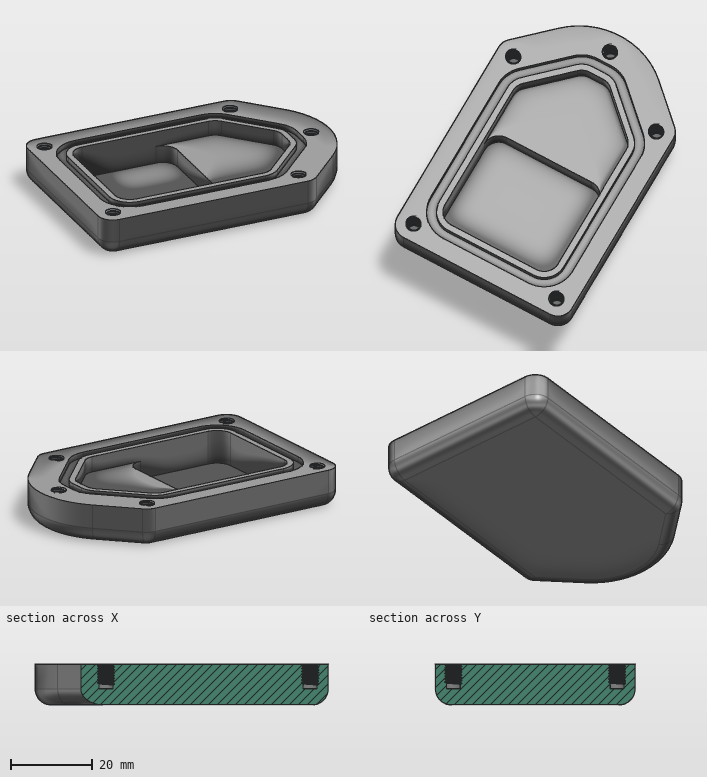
import cadquery as cq
import math

width = 49.2
length = 72.2
thickness = 10.0
edge_radius = 4.0
shoulder_y = 56.7
slope = math.radians(43.2)

pocket_half_width = 15.95
pocket_bottom_y = 8.6
pocket_top_y = 60.2
pocket_top_half_width = 3.5
rim_width = 1.6
groove_width = 2.45
groove_depth = 1.45
shelf_depth = 4.0
deep_pocket_depth = 8.5
deep_pocket_top_y = 36.5

bore_diameter = 3.3
thread_diameter = 4.1
thread_pitch = 0.7
thread_flank_angle = math.radians(30)
thread_root_width = thread_pitch / 8
thread_turns = 8
thread_overlap = 0.1
bore_seam_angle = 135
hole_depth = 6.0
hole_inset = 4.5
shoulder_hole_y = 54.7
crown_hole_y = 67.4


def make_plate():
    half_width = width / 2
    apex_y = shoulder_y + half_width * math.tan(slope)
    crown_radius = (apex_y - length) * math.cos(slope) / (1 - math.cos(slope))
    tangent_x = crown_radius * math.sin(slope)
    tangent_y = length - crown_radius * (1 - math.cos(slope))
    plate = (
        cq.Workplane("XY")
        .moveTo(-half_width, 0)
        .lineTo(half_width, 0)
        .lineTo(half_width, shoulder_y)
        .lineTo(tangent_x, tangent_y)
        .threePointArc((0, length), (-tangent_x, tangent_y))
        .lineTo(-half_width, shoulder_y)
        .close()
        .extrude(thickness)
    )
    side_corners = cq.selectors.BoxSelector(
        (-width, -length, -thickness),
        (width, (shoulder_y + tangent_y) / 2, 2 * thickness),
    )
    plate = plate.edges("|Z").edges(side_corners).fillet(edge_radius)
    return plate.faces("<Z").edges().fillet(edge_radius)


def pocket_prism(offset, depth):
    """House-shaped pocket outline grown outward by offset, reaching down from the top face."""
    roof_run = pocket_half_width - pocket_top_half_width
    pocket_shoulder_y = pocket_top_y - roof_run * math.tan(slope)
    half_width = pocket_half_width + offset
    bottom_y = pocket_bottom_y - offset
    wall_top_y = pocket_shoulder_y + offset * math.tan((math.pi / 2 - slope) / 2)
    roof_half_width = pocket_top_half_width + offset * math.tan(slope / 2)
    top_y = pocket_top_y + offset
    return (
        cq.Workplane("XY", origin=(0, 0, thickness))
        .polyline([
            (-half_width, bottom_y),
            (half_width, bottom_y),
            (half_width, wall_top_y),
            (roof_half_width, top_y),
            (-roof_half_width, top_y),
            (-half_width, wall_top_y),
        ])
        .close()
        .extrude(-depth)
        .edges("|Z")
        .fillet(edge_radius + offset)
    )


def make_seal_groove():
    groove = pocket_prism(rim_width + groove_width, groove_depth)
    return groove.cut(pocket_prism(rim_width, groove_depth))


def make_deep_pocket():
    span = deep_pocket_top_y - pocket_bottom_y
    return (
        cq.Workplane("XY", origin=(0, pocket_bottom_y + span / 2, thickness))
        .rect(2 * pocket_half_width, span)
        .extrude(-deep_pocket_depth)
        .edges("|Z")
        .fillet(edge_radius)
    )


def make_thread_groove():
    """Helical groove that crosses z = 0 on the -Y side, one turn below its upper end."""
    bore_radius = bore_diameter / 2
    thread_radius = thread_diameter / 2
    inner_radius = bore_radius - thread_overlap
    root_half = thread_root_width / 2
    mouth_half = root_half + (thread_radius - inner_radius) * math.tan(thread_flank_angle)
    helix = cq.Wire.makeHelix(thread_pitch, thread_turns * thread_pitch, bore_radius)
    groove = (
        cq.Workplane("XZ")
        .polyline([
            (inner_radius, -mouth_half),
            (thread_radius, -root_half),
            (thread_radius, root_half),
            (inner_radius, mouth_half),
        ])
        .close()
        .sweep(cq.Workplane(helix), isFrenet=True)
    )
    turns_below_top = thread_turns - 1
    groove = groove.rotate((0, 0, 0), (0, 0, 1), -90)
    return groove.translate((0, 0, -turns_below_top * thread_pitch))


def make_threaded_hole():
    """Cutting tool for one blind hole, with its mouth centred on the origin."""
    bore = cq.Workplane("XY").circle(bore_diameter / 2).extrude(-hole_depth)
    bore = bore.rotate((0, 0, 0), (0, 0, 1), bore_seam_angle)
    return bore.union(make_thread_groove())


result = make_plate()
result = result.cut(make_seal_groove())
result = result.cut(pocket_prism(0, shelf_depth))
result = result.cut(make_deep_pocket())

hole_x = width / 2 - hole_inset
hole_centres = [
    (-hole_x, hole_inset),
    (hole_x, hole_inset),
    (-hole_x, shoulder_hole_y),
    (hole_x, shoulder_hole_y),
    (0, crown_hole_y),
]
threaded_hole = make_threaded_hole()
for x, y in hole_centres:
    result = result.cut(threaded_hole.translate((x, y, thickness)))